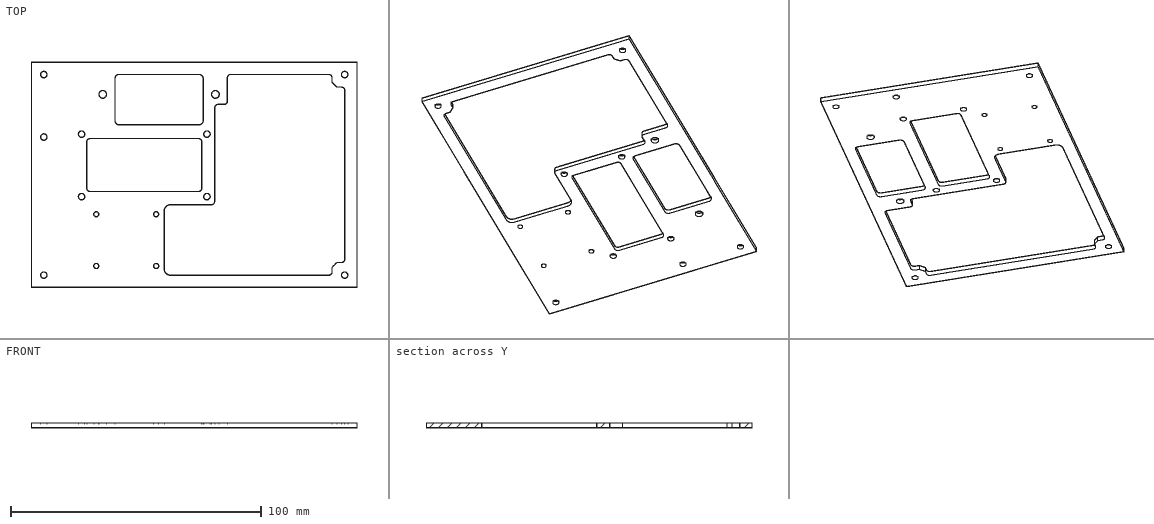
import cadquery as cq

length = 130.0
width = 90.0
thickness = 2.0
rim = 5.0

mount_diameter = 2.5
connector_diameter = 3.0
board_diameter = 2.0

upper_left = 33.4
upper_length = 35.1
upper_height = 20.0
upper_radius = 1.5
connector_center_x = upper_left + upper_length / 2
connector_spacing = 45.0
connector_y = 77.1

lower_left = 22.1
lower_bottom = 38.4
lower_length = 45.9
lower_height = 21.0
lower_radius = 1.3
display_left = 20.0
display_bottom = 36.3
display_spacing_x = 50.0
display_spacing_y = 25.0

board_left = 25.9
board_bottom = 8.6
board_spacing_x = 23.9
board_spacing_y = 20.7

edge_hole_y = 60.0

opening_left = 53.0
opening_step_y = 33.0
opening_middle_x = 73.2
opening_shoulder_y = 73.0
opening_upper_x = 78.3
corner_tab = 5.1
wide_radius = 2.5
narrow_radius = 1.3
tab_chamfer = 2.0


def rounded_window(left, bottom, size_x, size_y, radius):
    block = cq.Workplane("XY").box(size_x, size_y, thickness, centered=False)
    return block.edges("|Z").fillet(radius).translate((left, bottom, 0))


def hole_cutter(centers, diameter):
    return cq.Workplane("XY").pushPoints(centers).circle(diameter / 2).extrude(thickness)


def rectangle_corners(left, bottom, size_x, size_y):
    return [(x, y) for x in (left, left + size_x) for y in (bottom, bottom + size_y)]


def stepped_opening():
    right = length - rim
    top = width - rim
    tab_left = right - corner_tab
    tab_top = rim + corner_tab
    tab_bottom = top - corner_tab
    wide_corners = [(opening_left, rim), (opening_left, opening_step_y)]
    tab_corners = [(tab_left, tab_top), (tab_left, tab_bottom)]
    narrow_corners = [
        (tab_left, rim),
        (right, tab_top),
        (right, tab_bottom),
        (tab_left, top),
        (opening_upper_x, top),
        (opening_upper_x, opening_shoulder_y),
        (opening_middle_x, opening_shoulder_y),
        (opening_middle_x, opening_step_y),
    ]
    outline = [
        wide_corners[0],
        narrow_corners[0],
        tab_corners[0],
        *narrow_corners[1:3],
        tab_corners[1],
        *narrow_corners[3:],
        wide_corners[1],
    ]
    opening = cq.Workplane("XY").polyline(outline).close().extrude(thickness)

    def edges_at(corners):
        selector = cq.selectors.BoxSelector
        reach = 0.1
        picked = [
            opening.edges(selector((x - reach, y - reach, 0), (x + reach, y + reach, thickness))).val()
            for x, y in corners
        ]
        return opening.newObject(picked)

    opening = edges_at(wide_corners).fillet(wide_radius)
    opening = edges_at(narrow_corners).fillet(narrow_radius)
    return edges_at(tab_corners).chamfer(tab_chamfer)


mount_centers = rectangle_corners(rim, rim, length - 2 * rim, width - 2 * rim)
mount_centers.append((rim, edge_hole_y))
mount_centers += rectangle_corners(display_left, display_bottom, display_spacing_x, display_spacing_y)
connector_centers = [
    (connector_center_x - connector_spacing / 2, connector_y),
    (connector_center_x + connector_spacing / 2, connector_y),
]
board_centers = rectangle_corners(board_left, board_bottom, board_spacing_x, board_spacing_y)
upper_bottom = width - rim - upper_height

plate = cq.Workplane("XY").box(length, width, thickness, centered=False)
plate = plate.cut(rounded_window(upper_left, upper_bottom, upper_length, upper_height, upper_radius))
plate = plate.cut(rounded_window(lower_left, lower_bottom, lower_length, lower_height, lower_radius))
plate = plate.cut(stepped_opening())
plate = plate.cut(hole_cutter(mount_centers, mount_diameter))
plate = plate.cut(hole_cutter(connector_centers, connector_diameter))
plate = plate.cut(hole_cutter(board_centers, board_diameter))

result = plate